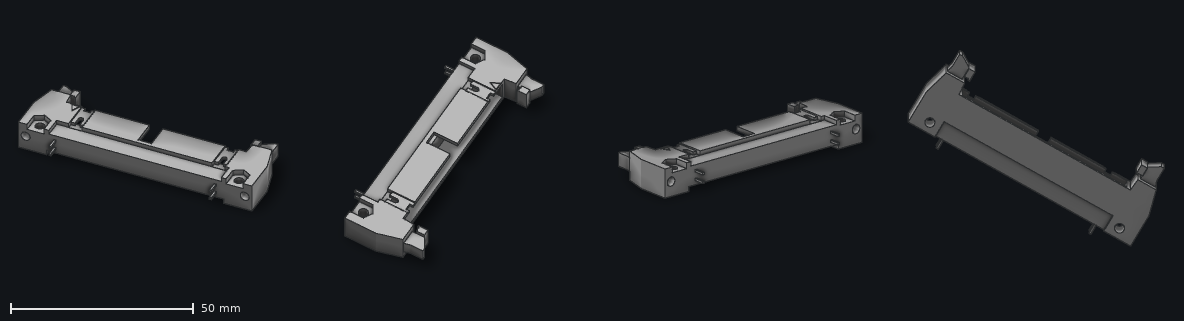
import cadquery as cq
import math


length = 70.4
height = 8.5
shell_depth = 13.8
half_length = length / 2
mid_z = height / 2
wall = 1.3

ear_depth = 17.4
ear_taper_start = 10.0
ear_tip_outer_x = 33.2
ear_tip_inner_x = 27.4
ear_root_inner_x = 27.1

cavity_floor_y = 7.4
cavity_half_length = 26.05

step_depth_y = 5.1
top_step_half_length = 26.0
top_step_drop = 1.3
bottom_step_half_length = 26.7
bottom_step_rise = 1.4

notch_width = 4.0
notch_back_y = 6.35

channel_drop = 0.4
channel_spacing = 43.2
channel_shift_x = 1.2
pit_front_y = 6.55
pit_drop = 1.35
keyhole_width = 1.5
keyhole_end_y = 9.6
mouth_notch_width = 2.0
mouth_notch_depth = 1.05

mount_x = 30.0
mount_y = 2.9
mount_diameter = 2.7
nut_across_flats = 5.15
nut_pocket_depth = 1.7

back_hole_x = 33.0
back_hole_z = 4.4
back_hole_diameter = 2.7
back_hole_depth = 7.05

pin_x = 24.15
pin_size = 0.6
pin_pitch = 2.5
pin_length = 3.25

mark_width = 2.45
mark_tip_y = 11.05
mark_base_y = 13.65
mark_depth = 0.2

latch_thickness = 4.0
latch_outer_x = 32.4
latch_foot_outer_x = 32.9
latch_inner_x = 28.2
latch_bend_y = 19.3
latch_top_y = 23.2
latch_top_inner_x = 31.4
grip_height = 6.2
grip_inner_x = 26.3
grip_top_y = 21.25
grip_bottom_y = 18.65
lip_width = 0.55
lip_drop = 0.4


def box(x_min, x_max, y_min, y_max, z_min, z_max):
    """Box between the given limits."""
    return cq.Workplane("XY").box(
        x_max - x_min, y_max - y_min, z_max - z_min, centered=False
    ).translate((x_min, y_min, z_min))


def prism(points, thickness, z_min):
    """Closed XY outline extruded upwards from z_min."""
    return cq.Workplane("XY").workplane(offset=z_min).polyline(points).close().extrude(thickness)


def both_ends(shape):
    """Shape on the +X side together with its mirror image on the -X side."""
    return shape.union(shape.mirror("YZ"))


def make_housing():
    right_outline = [
        (half_length, 0),
        (half_length, ear_taper_start),
        (ear_tip_outer_x, ear_depth),
        (ear_tip_inner_x, ear_depth),
        (ear_root_inner_x, shell_depth),
    ]
    left_outline = [(-x, y) for x, y in reversed(right_outline)]
    return prism(right_outline + left_outline, height, 0)


def make_cavity():
    return box(-cavity_half_length, cavity_half_length, cavity_floor_y, shell_depth, wall, height - wall)


def make_back_steps():
    top = box(-top_step_half_length, top_step_half_length, 0, step_depth_y, height - top_step_drop, height)
    bottom = box(-bottom_step_half_length, bottom_step_half_length, 0, step_depth_y, 0, bottom_step_rise)
    return top.union(bottom)


def make_polarising_notch():
    return box(-notch_width / 2, notch_width / 2, notch_back_y, shell_depth, height - wall, height)


def make_channel(center_x):
    """Channel with a pit at its back, a keyhole slot and a notch at the mouth."""
    left = center_x - notch_width / 2
    right = center_x + notch_width / 2
    pit_floor_z = height - pit_drop
    channel = box(left, right, step_depth_y, shell_depth, height - channel_drop, height)
    pit = box(left, right, step_depth_y, pit_front_y, pit_floor_z, height)
    keyhole_radius = keyhole_width / 2
    keyhole_arc_y = keyhole_end_y - keyhole_radius
    keyhole = (
        cq.Workplane("XY").workplane(offset=pit_floor_z)
        .moveTo(center_x - keyhole_radius, pit_front_y)
        .lineTo(center_x + keyhole_radius, pit_front_y)
        .lineTo(center_x + keyhole_radius, keyhole_arc_y)
        .threePointArc((center_x, keyhole_end_y), (center_x - keyhole_radius, keyhole_arc_y))
        .close().extrude(pit_drop)
    )
    mouth_notch = box(
        center_x - mouth_notch_width / 2, center_x + mouth_notch_width / 2,
        shell_depth - mouth_notch_depth, shell_depth, height - wall, height,
    )
    return channel.union(pit).union(keyhole).union(mouth_notch)


def make_mount_cut():
    """Through hole and a nut pocket that runs out through the back face."""
    hole = cq.Workplane("XY").center(mount_x, mount_y).circle(mount_diameter / 2).extrude(height)
    half_flats = nut_across_flats / 2
    half_side = half_flats * math.tan(math.radians(30))
    pocket_outline = [
        (mount_x - half_flats, 0),
        (mount_x - half_flats, mount_y + half_side),
        (mount_x, mount_y + 2 * half_side),
        (mount_x + half_flats, mount_y + half_side),
        (mount_x + half_flats, 0),
    ]
    return hole.union(prism(pocket_outline, nut_pocket_depth, height - nut_pocket_depth))


def make_back_hole():
    return (
        cq.Workplane("XZ").center(back_hole_x, back_hole_z)
        .circle(back_hole_diameter / 2).extrude(-back_hole_depth)
    )


def make_pin_one_mark():
    outline = [
        (-pin_x - mark_width / 2, mark_base_y),
        (-pin_x + mark_width / 2, mark_base_y),
        (-pin_x, mark_tip_y),
    ]
    return prism(outline, mark_depth, height - mark_depth)


def make_latch():
    arm_outline = [
        (latch_foot_outer_x, ear_depth),
        (latch_outer_x, latch_bend_y),
        (latch_outer_x, latch_top_y),
        (latch_top_inner_x, latch_top_y),
        (latch_inner_x, grip_top_y),
        (latch_inner_x, ear_depth),
    ]
    arm = prism(arm_outline, latch_thickness, mid_z - latch_thickness / 2)
    grip_outline = [
        (latch_inner_x, grip_top_y),
        (grip_inner_x, grip_top_y),
        (grip_inner_x, grip_bottom_y - lip_drop),
        (grip_inner_x + lip_width, grip_bottom_y - lip_drop),
        (grip_inner_x + lip_width, grip_bottom_y),
        (latch_inner_x, grip_bottom_y),
    ]
    return arm.union(prism(grip_outline, grip_height, mid_z - grip_height / 2))


def make_pins():
    return (
        cq.Workplane("XZ").center(0, mid_z)
        .rarray(2 * pin_x, pin_pitch, 2, 2)
        .rect(pin_size, pin_size).extrude(pin_length)
    )


result = make_housing().cut(make_cavity()).cut(make_back_steps()).cut(make_polarising_notch())
for side in (-1, 1):
    result = result.cut(make_channel(channel_shift_x + side * channel_spacing / 2))
result = result.cut(both_ends(make_mount_cut())).cut(both_ends(make_back_hole()))
result = result.cut(make_pin_one_mark())
result = result.union(both_ends(make_latch())).union(make_pins())